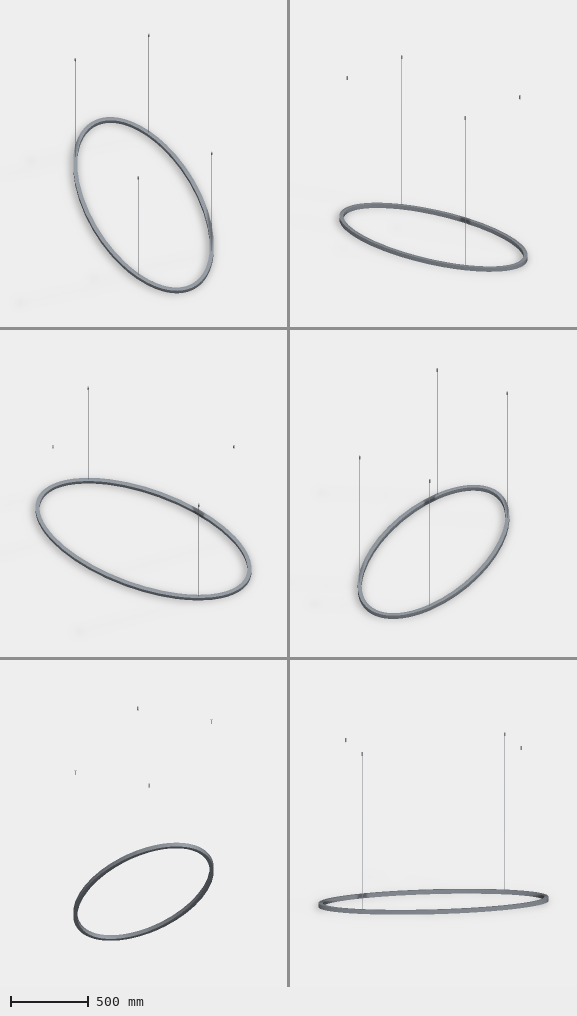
import cadquery as cq
import math

ring_length = 1500.0
ring_depth = 750.0
ring_width = 27.0
ring_height = 27.0

rim_width = 3.0
inlay_height = 3.0

connector_length = 9.0
connector_wall = 1.0

overall_height = 1053.0
cable_diameter = 1.2
nozzle_diameter = 4.0
nozzle_height = 1.0
gripper_diameter = 9.0
gripper_height = 22.0
flange_diameter = 11.0
flange_height = 1.0

centreline_a = (ring_length - ring_width) / 2
centreline_b = (ring_depth - ring_width) / 2
station_x = centreline_a * math.cos(math.radians(45))
station_y = centreline_b * math.sin(math.radians(45))
normal_angle = math.degrees(math.atan2(station_y / centreline_b**2, station_x / centreline_a**2))
stations = [(side_x, side_y) for side_x in (-1, 1) for side_y in (-1, 1)]


def make_ellipse(inset, bottom, height):
    """Solid elliptical disc, its edge moved inwards from the ring's outer edge."""
    return (
        cq.Workplane("XY", origin=(0, 0, bottom))
        .ellipse(ring_length / 2 - inset, ring_depth / 2 - inset)
        .extrude(height)
    )


def make_band(edge_inset, bottom, height):
    """Elliptical band, inset equally from the ring's outer and inner edges."""
    outer = make_ellipse(edge_inset, bottom, height)
    inner = make_ellipse(ring_width - edge_inset, bottom, height)
    return outer.cut(inner)


def make_station_block(side_x, side_y):
    """Block square to the ring that covers its whole section at one station."""
    return (
        cq.Workplane("XY")
        .box(2 * ring_width, connector_length, ring_height, centered=(True, True, False))
        .rotate((0, 0, 0), (0, 0, 1), side_x * side_y * normal_angle)
        .translate((side_x * station_x, side_y * station_y, 0))
    )


def make_connector(side_x, side_y):
    """Thin saddle over the top and down both sides of the ring."""
    core = make_band(connector_wall, 0, ring_height - connector_wall)
    saddle = make_band(0, 0, ring_height).cut(core)
    return saddle.intersect(make_station_block(side_x, side_y))


def make_suspension(side_x, side_y):
    """Cable standing on a connector, with nozzle, gripper and flange at its top end."""
    flange_bottom = overall_height - flange_height
    gripper_bottom = flange_bottom - gripper_height
    nozzle_bottom = gripper_bottom - nozzle_height
    base = cq.Workplane("XY").center(side_x * station_x, side_y * station_y)
    cable = base.workplane(offset=ring_height).circle(cable_diameter / 2).extrude(nozzle_bottom - ring_height)
    nozzle = base.workplane(offset=nozzle_bottom).circle(nozzle_diameter / 2).extrude(nozzle_height)
    gripper = base.workplane(offset=gripper_bottom).circle(gripper_diameter / 2).extrude(gripper_height)
    flange = base.workplane(offset=flange_bottom).circle(flange_diameter / 2).extrude(flange_height)
    return cable.union(nozzle).union(gripper).union(flange)


connectors = [make_connector(*station) for station in stations]
suspensions = [make_suspension(*station) for station in stations]

inlay_space = make_band(rim_width, ring_height - inlay_height, inlay_height)
housing = make_band(0, 0, ring_height).cut(inlay_space)
inlay = inlay_space
for connector in connectors:
    housing = housing.cut(connector)
    inlay = inlay.cut(connector)

result = cq.Compound.makeCompound(
    [*housing.vals(), *inlay.vals()]
    + [connector.val() for connector in connectors]
    + [suspension.val() for suspension in suspensions]
)